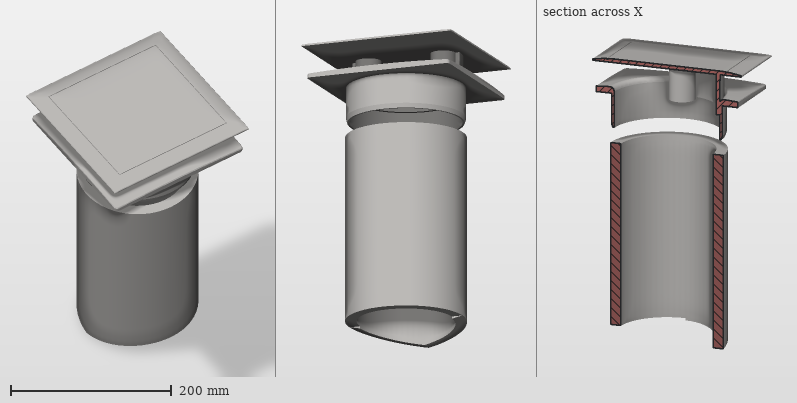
import cadquery as cq
import math

OVERALL_HEIGHT = 359.8

COVER_WIDTH = 200.0
COVER_THICKNESS = 5.5
COVER_PANEL_WIDTH = 159.5
COVER_RIM_RISE = 3.05
COVER_HIP_CUT = 4.3
COVER_HIP_SLOPE = 0.11
COVER_TOP_BLEND = 90.0
COVER_HIP_BLEND = 126.0
COVER_EDGE_CHAMFER = 0.7
GROOVE_WIDTH = 1.0
GROOVE_DEPTH = 1.0

COLLAR_TOP_DIAMETER = 143.5
COLLAR_BOTTOM_DIAMETER = 142.0
COLLAR_INNER_DIAMETER = 131.7
COLLAR_BOTTOM_Z = 302.2
POST_DIAMETER = 32.7
POST_OVERLAP = 0.7

FLANGE_WIDTH = 190.7
FLANGE_BOTTOM_Z = 314.5
FLANGE_RISE = 9.5
FLANGE_TOP_SLOPE = 0.065
FLANGE_CORNER_RADIUS = 5.0
FLANGE_EDGE_CHAMFER = 1.0
SPIGOT_DIAMETER = 149.5
SPIGOT_BORE = 141.0
SPIGOT_BOTTOM_Z = 270.5
SPIGOT_LEAD_IN = 5.8
SPIGOT_LEAD_IN_DEPTH = 1.8
MOUTH_FILLET = 6.0

PIPE_OUTER_DIAMETER = 152.0
PIPE_INNER_DIAMETER = 123.0
PIPE_TOP_Z = 251.0
PIPE_POINT_DROP = 15.0

COVER_BOTTOM_Z = OVERALL_HEIGHT - COVER_THICKNESS
RIM_SLOPE = COVER_RIM_RISE / ((COVER_WIDTH - COVER_PANEL_WIDTH) / 2)
FLANGE_TOP_Z = FLANGE_BOTTOM_Z + FLANGE_RISE


def square_plate(width, bottom_z, height):
    return cq.Workplane("XY").workplane(offset=bottom_z).rect(width, width).extrude(height)


def cylinder(diameter, bottom_z, height):
    return cq.Workplane("XY").workplane(offset=bottom_z).circle(diameter / 2).extrude(height)


def roof_prism(panel_width, slope, blend, angle):
    """Long block with two sloping shoulders blended into its top, turned about Z by the angle."""
    base_half = panel_width / 2 + COVER_THICKNESS / slope
    tilt = math.atan(slope)
    flat_half = panel_width / 2 - blend * math.tan(tilt / 2)

    def blend_point(turn):
        x = flat_half + blend * math.sin(turn)
        z = OVERALL_HEIGHT - blend * (1 - math.cos(turn))
        return x, z

    half_prism = (
        cq.Workplane("XZ")
        .moveTo(0, COVER_BOTTOM_Z)
        .lineTo(base_half, COVER_BOTTOM_Z)
        .lineTo(*blend_point(tilt))
        .threePointArc(blend_point(tilt / 2), blend_point(0))
        .lineTo(0, OVERALL_HEIGHT)
        .close()
        .extrude(COVER_WIDTH, both=True)
    )
    prism = half_prism.union(half_prism.mirror("YZ"))
    return prism.rotate((0, 0, 0), (0, 0, 1), angle)


def make_cover_plate():
    """Square plate with a sloping rim, flattened hips and a grooved panel."""
    hip_panel_width = COVER_PANEL_WIDTH * math.sqrt(2) - 2 * COVER_HIP_CUT
    plate = square_plate(COVER_WIDTH, COVER_BOTTOM_Z, COVER_THICKNESS)
    for angle in (0, 90):
        plate = plate.intersect(roof_prism(COVER_PANEL_WIDTH, RIM_SLOPE, COVER_TOP_BLEND, angle))
        plate = plate.intersect(roof_prism(hip_panel_width, COVER_HIP_SLOPE, COVER_HIP_BLEND, angle + 45))
    outer_rim = plate.faces("<X or >X or <Y or >Y").edges("not(<Z or |Z)")
    plate = outer_rim.chamfer(COVER_EDGE_CHAMFER)

    groove_floor = OVERALL_HEIGHT - GROOVE_DEPTH
    groove = square_plate(COVER_PANEL_WIDTH + GROOVE_WIDTH, groove_floor, GROOVE_DEPTH).cut(
        square_plate(COVER_PANEL_WIDTH - GROOVE_WIDTH, groove_floor, GROOVE_DEPTH)
    )
    return plate.cut(groove)


def make_collar():
    """Tapered half ring on the -Y side with a round post inside each end."""
    inner_radius = COLLAR_INNER_DIAMETER / 2
    collar = (
        cq.Workplane("XZ")
        .moveTo(inner_radius, COLLAR_BOTTOM_Z)
        .lineTo(COLLAR_BOTTOM_DIAMETER / 2, COLLAR_BOTTOM_Z)
        .lineTo(COLLAR_TOP_DIAMETER / 2, COVER_BOTTOM_Z)
        .lineTo(inner_radius, COVER_BOTTOM_Z)
        .close()
        .revolve(180, (0, 0, 0), (0, -1, 0))
    )
    post_x = inner_radius + POST_OVERLAP - POST_DIAMETER / 2
    post = cylinder(POST_DIAMETER, COLLAR_BOTTOM_Z, COVER_BOTTOM_Z - COLLAR_BOTTOM_Z)
    for side in (-1, 1):
        collar = collar.union(post.translate((side * post_x, 0, 0)))
    return collar


def make_flange():
    """Square wall flange with a shallow conical top."""
    corner_reach = FLANGE_WIDTH / math.sqrt(2)
    bore_radius = SPIGOT_BORE / 2
    peak_z = FLANGE_TOP_Z + FLANGE_TOP_SLOPE * bore_radius
    eaves_z = peak_z - FLANGE_TOP_SLOPE * corner_reach
    cone = (
        cq.Workplane("XZ")
        .moveTo(0, FLANGE_BOTTOM_Z)
        .lineTo(corner_reach, FLANGE_BOTTOM_Z)
        .lineTo(corner_reach, eaves_z)
        .lineTo(0, peak_z)
        .close()
        .revolve(360, (0, 0, 0), (0, 1, 0))
    )
    plate = square_plate(FLANGE_WIDTH, FLANGE_BOTTOM_Z, peak_z - FLANGE_BOTTOM_Z)
    plate = plate.edges("|Z").fillet(FLANGE_CORNER_RADIUS)
    flange = plate.intersect(cone)
    return flange.faces(">Z").edges().chamfer(FLANGE_EDGE_CHAMFER)


def make_spigot():
    """Round spigot below the flange with a tapered lead-in at its lower end."""
    spigot = cylinder(SPIGOT_DIAMETER, SPIGOT_BOTTOM_Z, FLANGE_BOTTOM_Z - SPIGOT_BOTTOM_Z)
    return spigot.faces("<Z").chamfer(SPIGOT_LEAD_IN, SPIGOT_LEAD_IN_DEPTH)


def make_vent():
    """Cover, collar, flange and spigot as one body."""
    frame = make_flange().union(make_spigot())
    frame = frame.cut(cylinder(SPIGOT_BORE, SPIGOT_BOTTOM_Z, OVERALL_HEIGHT - SPIGOT_BOTTOM_Z))
    frame = frame.edges("%CIRCLE").edges(">Z").fillet(MOUTH_FILLET)
    return frame.union(make_collar()).union(make_cover_plate())


def make_pipe():
    """Pipe cut square on the +Y half and to a shallow V on the -Y half."""
    outer_radius = PIPE_OUTER_DIAMETER / 2
    pipe = cylinder(PIPE_OUTER_DIAMETER, 0, PIPE_TOP_Z)
    pipe = pipe.cut(cylinder(PIPE_INNER_DIAMETER, 0, PIPE_TOP_Z))
    square_cut = (
        cq.Workplane("XY")
        .rect(PIPE_OUTER_DIAMETER, outer_radius)
        .extrude(PIPE_POINT_DROP)
        .translate((0, outer_radius / 2, 0))
    )
    pipe = pipe.cut(square_cut)
    for side in (-1, 1):
        slope_cut = (
            cq.Workplane("XZ")
            .polyline([(0, 0), (side * outer_radius, 0), (side * outer_radius, PIPE_POINT_DROP)])
            .close()
            .extrude(outer_radius)
        )
        pipe = pipe.cut(slope_cut)
    return pipe


vent = make_vent()
pipe = make_pipe()
result = cq.Compound.makeCompound([vent.val(), pipe.val()])